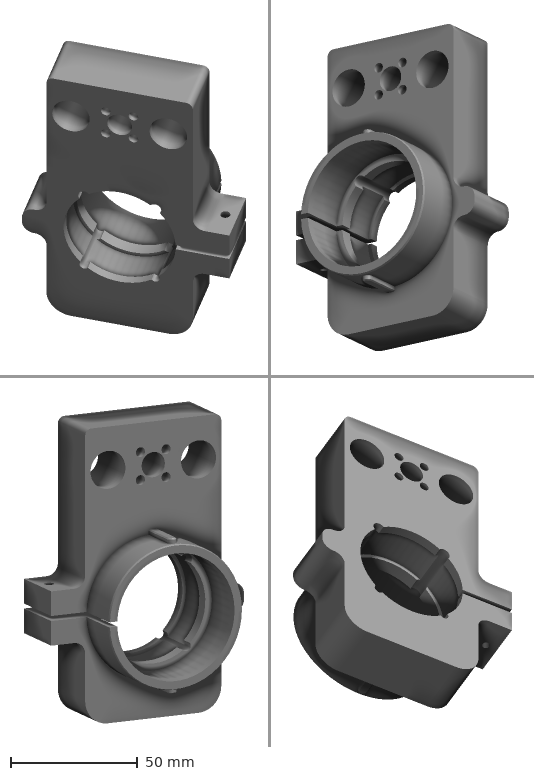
import cadquery as cq


plate_width = 60.0
plate_depth = 24.0
plate_top = 75.2
plate_bottom = -45.1
top_corner_radius = 2.8
bottom_corner_radius = 10.0

lug_radius = 4.9
left_lug_reach = 40.0
left_lug_height = 12.0
clamp_lug_reach = 45.0
clamp_lug_height = 22.0
slit_width = 2.0

screw_x = 39.9
screw_clearance_diameter = 4.0
screw_tap_diameter = 3.0

hole_row_z = 57.6
guide_hole_diameter = 15.4
guide_hole_offset = 20.0
center_hole_diameter = 10.2
small_hole_diameter = 4.0
small_hole_offset = 5.7

bore_diameter = 46.0
relief_diameter = 49.1
relief_start = 3.8
relief_end = 18.8
notch_x = 14.5
notch_z = 17.6
upper_notch_diameter = 5.0
lower_notch_diameter = 4.0

sleeve_diameter = 59.0
sleeve_length = 20.0
sleeve_bore_diameter = 51.7
sleeve_edge_length = 0.8
sleeve_edge_depth = 0.4
key_width = 4.0
key_end_gap = 2.0
key_radius = 31.5
key_root_radius = 27.1
key_chamfer = 0.5


def rod(diameter, start, end, x=0, z=0):
    """Cylinder along +Y between two depths."""
    base = cq.Workplane("XZ", origin=(x, start, z))
    return base.circle(diameter / 2).extrude(start - end)


def block(x_min, x_max, z_min, z_max, depth):
    """Rectangular block from the front face to the given depth."""
    size = (x_max - x_min, depth, z_max - z_min)
    return cq.Workplane("XY").box(*size, centered=False).translate((x_min, 0, z_min))


def lengthwise_edges(body, x_range, z_range):
    """Select edges along Y inside an X-Z window."""
    corner_low = (x_range[0], -1.2, z_range[0])
    corner_high = (x_range[1], plate_depth + 1.2, z_range[1])
    window = cq.selectors.BoxSelector(corner_low, corner_high)
    return body.edges("|Y").edges(window)


def make_plate():
    half_width = plate_width / 2
    plate = block(-half_width, half_width, plate_bottom, plate_top, plate_depth)
    plate = plate.edges("|Y and >Z").fillet(top_corner_radius)
    plate = plate.edges("|Y and <Z").fillet(bottom_corner_radius)
    left_half = left_lug_height / 2
    right_half = clamp_lug_height / 2
    plate = plate.union(block(-left_lug_reach, 0, -left_half, left_half, plate_depth))
    plate = plate.union(block(0, clamp_lug_reach, -right_half, right_half, plate_depth))
    margin = 1.2
    left_range = (-left_lug_reach - margin, -half_width + margin)
    root_range = (half_width - margin, half_width + margin)
    z_range = (-right_half - margin, right_half + margin)
    plate = lengthwise_edges(plate, left_range, z_range).fillet(lug_radius)
    return lengthwise_edges(plate, root_range, z_range).fillet(lug_radius)


def make_sleeve():
    outer = sleeve_diameter / 2
    end = plate_depth + sleeve_length
    profile = (
        cq.Workplane("XY")
        .moveTo(sleeve_bore_diameter / 2, plate_depth)
        .lineTo(outer, plate_depth)
        .lineTo(outer, end - sleeve_edge_length)
        .lineTo(outer - sleeve_edge_depth, end)
        .lineTo(sleeve_bore_diameter / 2, end)
        .close()
    )
    return profile.revolve(360, (0, 0, 0), (0, 1, 0))


def make_key():
    """Key on top of the sleeve with a rounded rear end and a chamfered top."""
    half_width = key_width / 2
    key_end = plate_depth + sleeve_length - key_end_gap
    return (
        cq.Workplane("XY", origin=(0, 0, key_root_radius))
        .moveTo(-half_width, plate_depth)
        .lineTo(half_width, plate_depth)
        .lineTo(half_width, key_end - half_width)
        .threePointArc((0, key_end), (-half_width, key_end - half_width))
        .close()
        .extrude(key_radius - key_root_radius)
        .faces(">Z")
        .edges("not <Y")
        .chamfer(key_chamfer)
    )


def cut_mounting_holes(body):
    body = body.cut(rod(center_hole_diameter, 0, plate_depth, 0, hole_row_z))
    for side in (-1, 1):
        guide_x = side * guide_hole_offset
        body = body.cut(rod(guide_hole_diameter, 0, plate_depth, guide_x, hole_row_z))
        for level in (-1, 1):
            x = side * small_hole_offset
            z = hole_row_z + level * small_hole_offset
            body = body.cut(rod(small_hole_diameter, 0, plate_depth, x, z))
    return body


def cut_bore(body):
    body = body.cut(rod(bore_diameter, 0, plate_depth))
    body = body.cut(rod(relief_diameter, relief_start, relief_end))
    for side in (-1, 1):
        x = side * notch_x
        body = body.cut(rod(upper_notch_diameter, 0, plate_depth, x, notch_z))
        body = body.cut(rod(lower_notch_diameter, 0, plate_depth, x, -notch_z))
    return body


def cut_clamp(body):
    """Slit through the right side of the bore and lug, and the screw hole across it."""
    full_depth = plate_depth + sleeve_length
    body = body.cut(block(0, clamp_lug_reach, -slit_width / 2, slit_width / 2, full_depth))
    screw_axis = cq.Workplane("XY").center(screw_x, plate_depth / 2)
    clearance = screw_axis.circle(screw_clearance_diameter / 2).extrude(clamp_lug_height)
    tapped = screw_axis.circle(screw_tap_diameter / 2).extrude(-clamp_lug_height)
    return body.cut(clearance).cut(tapped)


top_key = make_key()
bottom_key = top_key.mirror("XY")

plate = cut_bore(cut_mounting_holes(make_plate()))
body = plate.union(make_sleeve()).union(top_key).union(bottom_key)
result = cut_clamp(body)